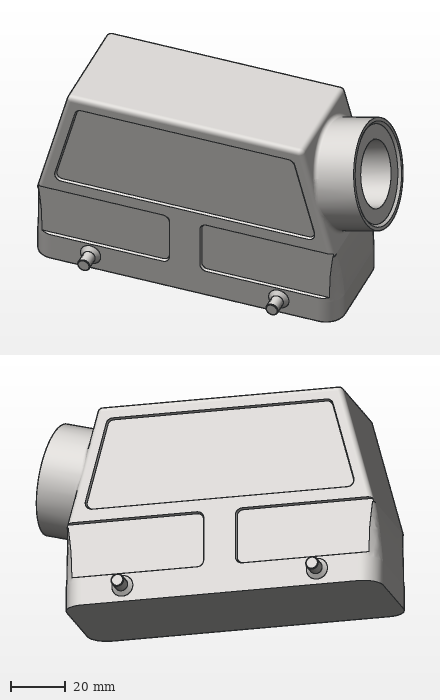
import cadquery as cq
import math

foot_length = 120.0
hood_width = 43.0
foot_height = 9.0
foot_corner_radius = 7.5

crease_height = 30.5
crease_inset = 1.6
crease_corner_radius = 2.9
skirt_mid_inset = 0.7
skirt_mid_radius = 6.3

hood_height = 76.0
end_slope = 15.0
edge_radius = 2.0

recess_depth = 1.0
recess_wall_draft = 22.0
recess_corner_radius = 2.7
panel_margin = 4.8
panel_bottom = 36.6
grip_bottom = 10.8
grip_top = 32.1
grip_gap = 12.0

peg_spacing = 73.9
peg_height = 6.0
peg_diameter = 4.8
peg_span = 57.2
peg_tip_chamfer = 0.3
peg_root_diameter = 8.0
peg_root_height = 1.5
peg_overlap = 1.3

neck_diameter = 41.7
neck_reach = 133.1
neck_top = 76.8
neck_root_radius = 1.5
neck_overlap = 4.0
mouth_chamfer = 1.0

insert_diameter = 37.0
insert_bore = 25.5

mid_x = foot_length / 2
half_width = hood_width / 2
slope = math.radians(end_slope)
neck_axis = cq.Vector(math.cos(slope), 0, math.sin(slope))
neck_radius = neck_diameter / 2
neck_mouth = cq.Vector(
    neck_reach - neck_radius * math.sin(slope),
    0,
    neck_top - neck_radius * math.cos(slope),
)
crease_end = cq.Vector(foot_length - crease_inset, 0, crease_height)
neck_length = (neck_mouth - crease_end).dot(neck_axis)
insert_length = neck_length - mouth_chamfer


def end_inset(z):
    """Distance of the sloped end face from the end of the foot at height z."""
    return crease_inset + (z - crease_height) * math.tan(slope)


def section(height, inset, radius):
    """Rounded rectangle across the hood."""
    outline = (
        cq.Workplane("XY", origin=(mid_x, 0, height))
        .rect(foot_length - 2 * inset, hood_width)
        .wires()
        .val()
    )
    return outline.fillet2D(radius, outline.Vertices())


def make_foot():
    return (
        cq.Workplane("XY", origin=(mid_x, 0, 0))
        .rect(foot_length, hood_width)
        .extrude(foot_height)
        .edges("|Z")
        .fillet(foot_corner_radius)
    )


def make_skirt():
    mid_height = (foot_height + crease_height) / 2
    sections = [
        section(foot_height, 0, foot_corner_radius),
        section(mid_height, skirt_mid_inset, skirt_mid_radius),
        section(crease_height, crease_inset, crease_corner_radius),
    ]
    return cq.Workplane(cq.Solid.makeLoft(sections))


def make_upper():
    top_inset = end_inset(hood_height)
    return (
        cq.Workplane("XZ", origin=(0, half_width, 0))
        .polyline([
            (crease_inset, crease_height),
            (foot_length - crease_inset, crease_height),
            (foot_length - top_inset, hood_height),
            (top_inset, hood_height),
        ])
        .close()
        .extrude(hood_width)
        .edges("not <Z")
        .fillet(edge_radius)
    )


def neck_workplane(distance):
    """Plane square to the neck axis, at a distance behind the mouth."""
    origin = neck_mouth - neck_axis * distance
    return cq.Workplane(cq.Plane(origin=origin, xDir=(0, 1, 0), normal=neck_axis))


def add_neck(body):
    """Join the neck to the sloped end face, with a fillet around its root."""
    length = neck_length + neck_overlap
    neck = neck_workplane(length).circle(neck_radius).extrude(length)
    outermost = cq.selectors.DirectionMinMaxSelector(neck_axis)
    return (
        body.union(neck)
        .faces("%CYLINDER")
        .faces(outermost)
        .edges("not %LINE")
        .edges(cq.selectors.InverseSelector(outermost))
        .fillet(neck_root_radius)
    )


def make_insert():
    return (
        neck_workplane(neck_length)
        .circle(insert_diameter / 2)
        .circle(insert_bore / 2)
        .extrude(insert_length)
    )


def make_mouth():
    """Socket for the insert and the chamfer at its mouth."""
    socket = neck_workplane(neck_length).circle(insert_diameter / 2).extrude(neck_length)
    lead_in = (
        neck_workplane(mouth_chamfer)
        .circle(insert_diameter / 2)
        .workplane(offset=mouth_chamfer)
        .circle(insert_diameter / 2 + mouth_chamfer)
        .loft()
    )
    return socket.union(lead_in)


def side_recesses(points):
    """Matching recess cutters for both long sides, with rounded corners and drafted walls."""
    near_side = (
        cq.Workplane("XZ", origin=(0, -half_width, 0))
        .polyline(points)
        .close()
        .extrude(-recess_depth)
        .edges("|Y")
        .fillet(recess_corner_radius)
        .faces("<Y")
        .wires()
        .toPending()
        .extrude(-recess_depth, combine=False, taper=recess_wall_draft)
    )
    return near_side.union(near_side.mirror("XZ"))


def make_panel():
    top = hood_height - panel_margin
    side = panel_margin / math.cos(slope)
    return side_recesses([
        (end_inset(panel_bottom) + side, panel_bottom),
        (foot_length - end_inset(panel_bottom) - side, panel_bottom),
        (foot_length - end_inset(top) - side, top),
        (end_inset(top) + side, top),
    ])


def make_grip(side):
    """Recess that runs out through the end of the skirt; side is -1 or +1."""
    inner = mid_x + side * grip_gap / 2
    outer = mid_x + side * foot_length
    return side_recesses([
        (inner, grip_bottom),
        (outer, grip_bottom),
        (outer, grip_top),
        (inner, grip_top),
    ])


def make_peg(x, side):
    """Peg with a conical root, on the side face at y = side * half_width; side is -1 or +1."""
    radius = peg_diameter / 2
    root_radius = peg_root_diameter / 2
    length = peg_span / 2 - half_width
    peg = (
        cq.Workplane("XY")
        .moveTo(0, -peg_overlap)
        .lineTo(root_radius, -peg_overlap)
        .lineTo(root_radius, 0)
        .lineTo(radius, peg_root_height)
        .lineTo(radius, length - peg_tip_chamfer)
        .lineTo(radius - peg_tip_chamfer, length)
        .lineTo(0, length)
        .close()
        .revolve(360, (0, 0, 0), (0, 1, 0))
    )
    if side < 0:
        peg = peg.mirror("XZ")
    return peg.translate((x, side * half_width, peg_height))


hood = add_neck(make_foot().union(make_skirt()).union(make_upper()))
hood = hood.cut(make_mouth()).cut(make_panel())
for side in (-1, 1):
    hood = hood.cut(make_grip(side))
    for x in (mid_x - peg_spacing / 2, mid_x + peg_spacing / 2):
        hood = hood.union(make_peg(x, side))

insert = make_insert()

result = cq.Compound.makeCompound([hood.val(), insert.val()])